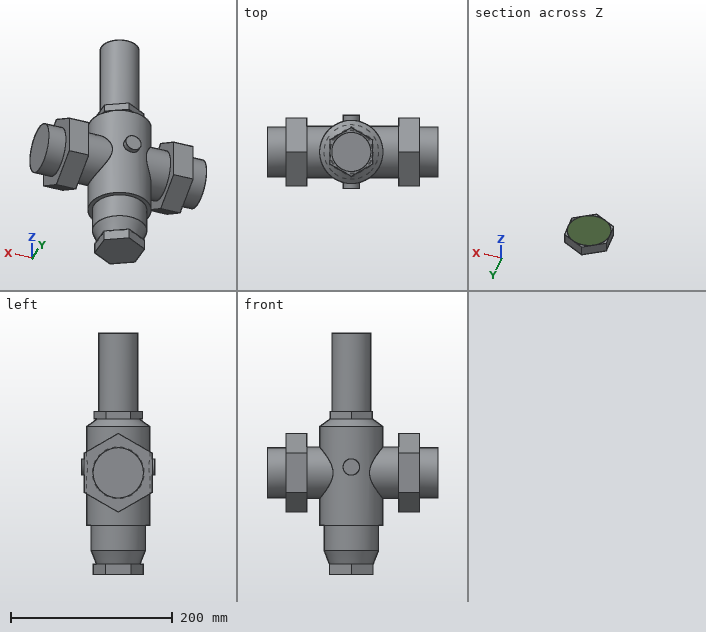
import cadquery as cq
import math


TOP_Z = 172.8
CAP_BOTTOM_Z = 76.0
TOP_NUT_BOTTOM_Z = 66.7
SHOULDER_Z = 57.5
BODY_BOTTOM_Z = -65.2
SLEEVE_BOTTOM_Z = -96.3
TAPER_BOTTOM_Z = -113.0
BOTTOM_Z = TOP_Z - 299

CAP_RADIUS = 24.2
SHOULDER_TOP_RADIUS = 26.3
BODY_RADIUS = 39.2
SLEEVE_RADIUS = 33.8
TAPER_BOTTOM_RADIUS = 27.2

TOP_NUT_FLATS = 52.3
BOTTOM_NUT_FLATS = 54.0
UNION_NUT_FLATS = 84.3

PIPE_LENGTH = 211.0
PIPE_CENTER_X = 1.8
PIPE_RADIUS = 32.0
PIPE_END_RADIUS = 31.0
UNION_NUT_WIDTH = 26.0
UNION_NUT_INSET = 22.7

PIN_LENGTH = 91.0
PIN_RADIUS = 10.2
PIN_Z = 7.2


def hexagon(plane, flats, length):
    """Hexagonal prism with two corners on the plane's local Y axis."""
    corner_radius = flats / math.sqrt(3)
    angles = [math.radians(90 + 60 * i) for i in range(6)]
    corners = [(corner_radius * math.cos(a), corner_radius * math.sin(a)) for a in angles]
    return cq.Workplane(plane).polyline(corners).close().extrude(length)


def x_plane(x):
    return cq.Plane(origin=(x, 0, 0), xDir=(0, 1, 0), normal=(1, 0, 0))


def z_plane(z):
    return cq.Plane(origin=(0, 0, z))


def turned_body():
    """Cap, shouldered body, sleeve and taper as one revolved profile."""
    profile = [
        (0, TOP_Z),
        (CAP_RADIUS, TOP_Z),
        (CAP_RADIUS, TOP_NUT_BOTTOM_Z),
        (SHOULDER_TOP_RADIUS, TOP_NUT_BOTTOM_Z),
        (BODY_RADIUS, SHOULDER_Z),
        (BODY_RADIUS, BODY_BOTTOM_Z),
        (SLEEVE_RADIUS, BODY_BOTTOM_Z),
        (SLEEVE_RADIUS, SLEEVE_BOTTOM_Z),
        (TAPER_BOTTOM_RADIUS, TAPER_BOTTOM_Z),
        (0, TAPER_BOTTOM_Z),
    ]
    return cq.Workplane("XZ").polyline(profile).close().revolve(360, (0, 0), (0, 1))


def pipe_connections():
    """Through pipe with slimmer ends and a union nut on each side."""
    left_end = PIPE_CENTER_X - PIPE_LENGTH / 2
    right_end = PIPE_CENTER_X + PIPE_LENGTH / 2
    left_nut = left_end + UNION_NUT_INSET
    right_nut = right_end - UNION_NUT_INSET - UNION_NUT_WIDTH
    pipe = cq.Workplane(x_plane(left_end)).circle(PIPE_END_RADIUS).extrude(PIPE_LENGTH)
    pipe = pipe.union(cq.Workplane(x_plane(left_nut)).circle(PIPE_RADIUS).extrude(right_nut - left_nut))
    for nut_x in (left_nut, right_nut):
        pipe = pipe.union(hexagon(x_plane(nut_x), UNION_NUT_FLATS, UNION_NUT_WIDTH))
    return pipe


def cross_pin():
    pin = cq.Workplane("XZ").center(0, PIN_Z).circle(PIN_RADIUS)
    return pin.extrude(PIN_LENGTH / 2, both=True)


top_nut = hexagon(z_plane(TOP_NUT_BOTTOM_Z), TOP_NUT_FLATS, CAP_BOTTOM_Z - TOP_NUT_BOTTOM_Z)
bottom_nut = hexagon(z_plane(BOTTOM_Z), BOTTOM_NUT_FLATS, TAPER_BOTTOM_Z - BOTTOM_Z)

result = (
    turned_body()
    .union(top_nut)
    .union(bottom_nut)
    .union(pipe_connections())
    .union(cross_pin())
)